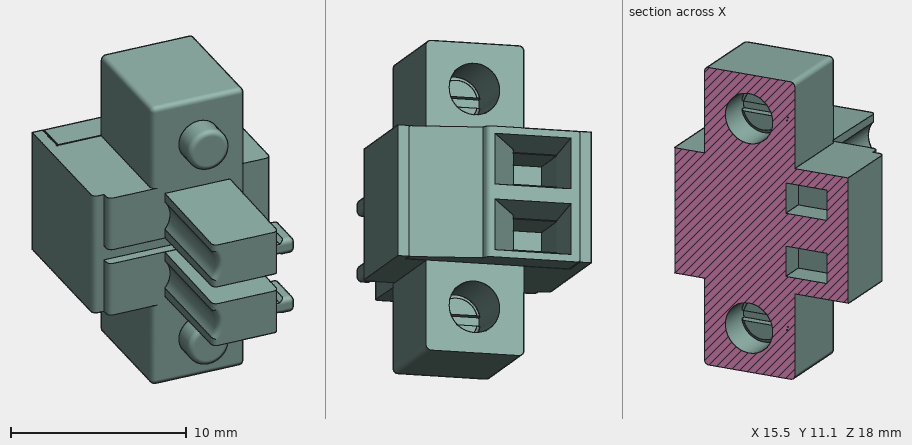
import cadquery as cq

overall_length = 15.5
overall_depth = 11.1
overall_height = 18.02
edge_radius = 0.3
pole_pitch = 3.82
pole_heights = (-pole_pitch / 2, pole_pitch / 2)

housing_height = 7.6
shoulder_x = 8.3
mating_face_x = 8.9
shoulder_depth = 0.68
back_rim_x = 1.25
mating_gap = 0.9

rim_thickness = 0.67
cover_back_y = overall_depth - rim_thickness
cover_back_x = 2.0
cover_step_y = 6.29
cover_step_x = 0.45
cover_nose_y = 6.1
cover_top_x = 1.3
seam_size = 0.07
cover_setback = 0.02

flange_front_y = 3.4
flange_back_y = 9.2

screw_spacing = 12.67
screw_heights = (-screw_spacing / 2, screw_spacing / 2)
screw_y = 6.35
screw_tip_x = 10.38
shank_diameter = 2.5
head_diameter = 3.0
head_recess = 3.6
drive_slot_width = 0.6
drive_slot_depth = 0.5

funnel_front_y = 1.2
funnel_back_y = 5.71
funnel_height = 2.95
funnel_slope_end_x = 1.98
funnel_end_x = 2.35
throat_front_y = 1.37
throat_back_y = 4.04
throat_height = 1.91
clamp_inset = 0.05
clamp_end_x = 5.4

sleeve_front_y = 4.22
sleeve_back_y = 8.29
sleeve_root_height = 2.88
sleeve_tip_height = 2.72
groove_diameter = 2.8
groove_width = 1.78

rail_start_x = 12.95
rail_end_x = 15.19
rail_back_y = 9.48
rail_neck_y = 8.52
rail_head_y = 8.81
rail_neck_height = 0.6
rail_flare = 0.18


def box(x_range, y_range, height, z_center=0.0):
    """Box between two X and two Y limits, centred on z_center."""
    return (
        cq.Workplane("XY", origin=(0, 0, z_center))
        .moveTo(x_range[0], y_range[0])
        .lineTo(x_range[1], y_range[0])
        .lineTo(x_range[1], y_range[1])
        .lineTo(x_range[0], y_range[1])
        .close()
        .extrude(height / 2, both=True)
    )


def cylinder_along_x(diameter, x_start, x_end, y, z):
    return (
        cq.Workplane("YZ", origin=(x_start, y, z))
        .circle(diameter / 2)
        .extrude(x_end - x_start)
    )


def make_housing():
    """Housing with its cover pocket, raised mating centre and dividing gap."""
    shell = box((0, shoulder_x), (0, overall_depth), housing_height)
    shell = shell.edges("|Z and >X").fillet(edge_radius)
    pocket = box((0, cover_back_x), (rim_thickness, cover_back_y), housing_height)
    back_rim_trim = box((0, back_rim_x), (cover_back_y, overall_depth), housing_height)

    centre_x_range = (shoulder_x - edge_radius, mating_face_x)
    centre = box(centre_x_range, (shoulder_depth, flange_back_y), housing_height)
    centre = centre.edges("|Z and >X").fillet(edge_radius)
    gap = box((shoulder_x, mating_face_x), (0, overall_depth), mating_gap)
    return shell.cut(pocket).cut(back_rim_trim).union(centre.cut(gap))


def make_cover():
    """Cover with a blunt nose, a sloping face and a bevelled seam."""
    cover = (
        cq.Workplane("XY")
        .moveTo(cover_setback, rim_thickness)
        .lineTo(cover_back_x, rim_thickness)
        .lineTo(cover_back_x, cover_back_y)
        .lineTo(cover_top_x, cover_back_y)
        .lineTo(cover_step_x, cover_step_y)
        .lineTo(cover_setback, cover_nose_y)
        .close()
        .extrude(housing_height / 2, both=True)
    )
    nose = cq.selectors.NearestToPointSelector((0, cover_nose_y, 0))
    cover = cover.edges("|Z").edges(nose).fillet(edge_radius)
    for end_face in ("<Z", ">Z"):
        cover = cover.faces(end_face).edges("<Y or >Y or >X").chamfer(seam_size)
    return cover


def make_flanges():
    """One bar rounded on its long edges and mating end, spanning both flanges."""
    bar = box((cover_back_x, mating_face_x), (flange_front_y, flange_back_y), overall_height)
    bar = bar.edges("|X").fillet(edge_radius).faces(">X").edges().fillet(edge_radius)
    middle = box((0, overall_length), (0, overall_depth), housing_height)
    return bar.cut(middle)


def make_screw(z):
    """Slotted screw whose head sits deep inside the flange."""
    head_x = cover_back_x + head_recess
    shank = cylinder_along_x(shank_diameter, head_x, screw_tip_x, screw_y, z)
    shank = shank.faces(">X").edges().fillet(edge_radius)
    head = cylinder_along_x(head_diameter, head_x, mating_face_x - edge_radius, screw_y, z)
    head = head.faces("<X").edges().fillet(edge_radius)
    slot_y_range = (screw_y - head_diameter / 2, screw_y + head_diameter / 2)
    slot = box((head_x, head_x + drive_slot_depth), slot_y_range, drive_slot_width, z)
    return head.union(shank).cut(slot)


def make_wire_entry(z):
    """Void of one wire entry: a funnel narrowing to the clamp opening."""
    plan = (
        cq.Workplane("XY", origin=(0, 0, z))
        .moveTo(0, funnel_front_y)
        .lineTo(funnel_end_x, throat_front_y)
        .lineTo(funnel_end_x, throat_back_y)
        .lineTo(funnel_slope_end_x, throat_back_y)
        .lineTo(0, funnel_back_y)
        .close()
        .extrude(funnel_height / 2, both=True)
    )
    side = (
        cq.Workplane("XZ", origin=(0, 0, z))
        .moveTo(0, -funnel_height / 2)
        .lineTo(funnel_end_x, -throat_height / 2)
        .lineTo(funnel_end_x, throat_height / 2)
        .lineTo(0, funnel_height / 2)
        .close()
        .extrude(-overall_depth)
    )
    clamp_y_range = (throat_front_y, throat_back_y - clamp_inset)
    clamp_height = throat_height - 2 * clamp_inset
    clamp = box((funnel_slope_end_x, clamp_end_x), clamp_y_range, clamp_height, z)
    return plan.intersect(side).union(clamp)


def make_sleeve(z):
    """Tapered contact sleeve with a round groove along its front face."""
    root_x = shoulder_x - edge_radius
    taper = (sleeve_root_height - sleeve_tip_height) / (overall_length - mating_face_x)
    hidden_root_height = sleeve_root_height + taper * (mating_face_x - root_x)
    sleeve = (
        cq.Workplane("XZ", origin=(0, sleeve_front_y, z))
        .moveTo(root_x, -hidden_root_height / 2)
        .lineTo(overall_length, -sleeve_tip_height / 2)
        .lineTo(overall_length, sleeve_tip_height / 2)
        .lineTo(root_x, hidden_root_height / 2)
        .close()
        .extrude(sleeve_front_y - sleeve_back_y)
    )
    groove_axis_offset = ((groove_diameter / 2) ** 2 - (groove_width / 2) ** 2) ** 0.5
    groove = cylinder_along_x(
        groove_diameter, mating_face_x, overall_length, sleeve_front_y - groove_axis_offset, z
    )
    sleeve = sleeve.cut(groove)
    sleeve = sleeve.faces(">X").edges(">Y").fillet(edge_radius)
    front_tip = sleeve.faces(">X").edges("(not >Y) and (not |Y)")
    return front_tip.fillet(edge_radius)


def make_rail(z):
    """Locking rail of T-shaped section with a flared underside."""
    neck = rail_neck_height / 2
    head = neck + rail_flare
    rail = (
        cq.Workplane("YZ", origin=(rail_start_x, 0, z))
        .moveTo(sleeve_back_y, -neck)
        .lineTo(rail_neck_y, -neck)
        .lineTo(rail_head_y, -head)
        .lineTo(rail_back_y, -head)
        .lineTo(rail_back_y, head)
        .lineTo(rail_head_y, head)
        .lineTo(rail_neck_y, neck)
        .lineTo(sleeve_back_y, neck)
        .close()
        .extrude(rail_end_x - rail_start_x)
    )
    return rail.edges("|X and >Y").fillet(edge_radius).edges(">X and >Y").fillet(edge_radius)


result = make_housing().union(make_cover()).union(make_flanges())

for screw_z in screw_heights:
    screw_hole = cylinder_along_x(
        head_diameter, cover_back_x, mating_face_x - edge_radius, screw_y, screw_z
    )
    result = result.cut(screw_hole).union(make_screw(screw_z))

for pole_z in pole_heights:
    result = result.cut(make_wire_entry(pole_z))
    result = result.union(make_sleeve(pole_z)).union(make_rail(pole_z))